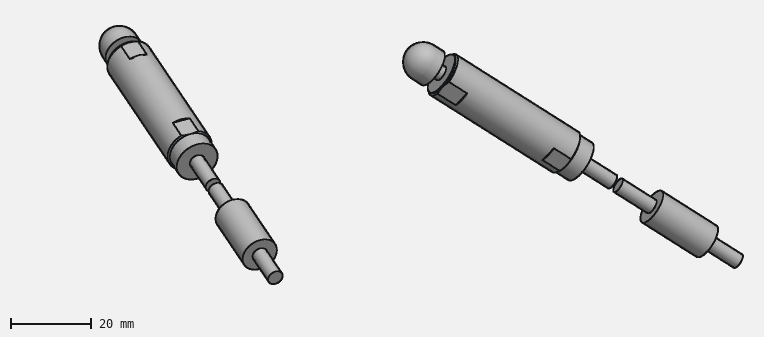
import cadquery as cq
import math

total_length = 104.1
rod_diameter = 4.0

tip_diameter = 10.0
tip_end = 8.0
barrel_diameter = 12.0
front_collar_start = 10.7
barrel_start = 11.0
barrel_end = 50.1
collar_diameter = 11.0
rear_collar_end = 54.4
plunger_end = 64.5

bevel_length = 0.3

flat_clearance = 0.02
flat_spacing = collar_diameter + flat_clearance
front_flat_end = 17.1
rear_flat_start = 44.3

rear_rod_start = 66.3
sleeve_diameter = 9.3
sleeve_start = 76.9
sleeve_end = 94.2


def cylinder(diameter, start, end):
    """Cylinder on the X axis between two X positions."""
    return cq.Workplane("YZ", origin=(start, 0, 0)).circle(diameter / 2).extrude(end - start)


def make_turned_plunger():
    """Revolved half profile of the tip, rod, collars and bevelled barrel."""
    tip_radius = tip_diameter / 2
    rod_radius = rod_diameter / 2
    barrel_radius = barrel_diameter / 2
    collar_radius = collar_diameter / 2
    dome_offset = tip_radius * math.sqrt(0.5)
    return (
        cq.Workplane("XY")
        .moveTo(0, 0)
        .threePointArc((tip_radius - dome_offset, dome_offset), (tip_radius, tip_radius))
        .lineTo(tip_end, tip_radius)
        .lineTo(tip_end, rod_radius)
        .lineTo(front_collar_start, rod_radius)
        .lineTo(front_collar_start, collar_radius)
        .lineTo(barrel_start, collar_radius)
        .lineTo(barrel_start + bevel_length, barrel_radius)
        .lineTo(barrel_end - bevel_length, barrel_radius)
        .lineTo(barrel_end, collar_radius)
        .lineTo(rear_collar_end, collar_radius)
        .lineTo(rear_collar_end, rod_radius)
        .lineTo(plunger_end, rod_radius)
        .lineTo(plunger_end, 0)
        .close()
        .revolve(360, (0, 0, 0), (1, 0, 0))
    )


def cut_wrench_flats(body):
    """Cut flats above and below the axis at both ends of the barrel."""
    cutter_height = barrel_diameter - flat_spacing
    cutter_center = (flat_spacing + cutter_height) / 2
    for start, end in ((barrel_start, front_flat_end), (rear_flat_start, barrel_end)):
        for side in (-1, 1):
            cutter = cq.Workplane("XY").box(end - start, barrel_diameter, cutter_height)
            body = body.cut(cutter.translate(((start + end) / 2, 0, side * cutter_center)))
    return body


def make_rear_rod():
    """Rod with a thicker sleeve section."""
    rod = cylinder(rod_diameter, rear_rod_start, total_length)
    return rod.union(cylinder(sleeve_diameter, sleeve_start, sleeve_end))


plunger = cut_wrench_flats(make_turned_plunger())
rear_rod = make_rear_rod()

result = cq.Compound.makeCompound([plunger.val(), *rear_rod.solids().vals()])